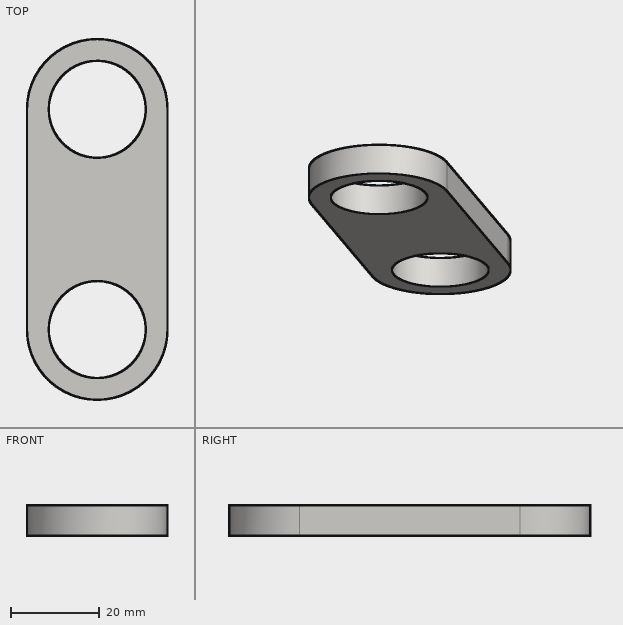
import cadquery as cq

length = 82.0
width = 32.0
thickness = 7.0
hole_diameter = 22.0

hole_spacing = length - width

link = cq.Workplane("XY").slot2D(length, width, angle=90).extrude(thickness)

result = (
    link.faces(">Z")
    .workplane(origin=(0, 0, thickness))
    .pushPoints([(0, -hole_spacing / 2), (0, hole_spacing / 2)])
    .hole(hole_diameter)
)